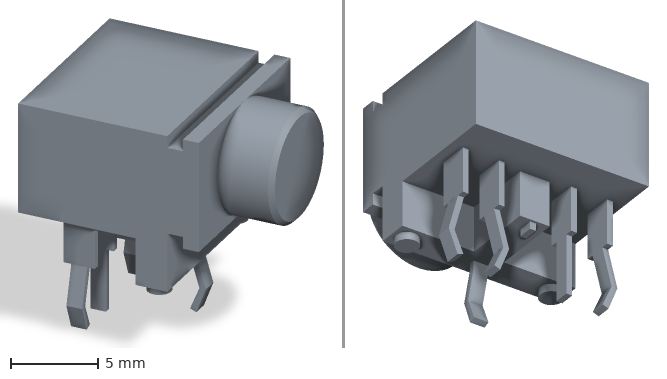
import cadquery as cq


width = 12.0
height = 7.0
flange_end = 11.5
groove_width = 1.0
flange_thickness = 1.0
groove_depth = 0.75
groove_end = flange_end - flange_thickness
groove_start = groove_end - groove_width

total_length = 15.0
barrel_chamfer = 0.3
barrel_length = total_length - flange_end

foot_height = 3.0
foot_length = 2.01
foot_start = groove_start - foot_length
rib_start = 2.8
rib_width = 2.05

peg_diameter = 1.5
peg_height = 0.5
peg_x = 8.5
peg_y = 5.0

pin_thickness = 0.4
pin_width = 1.0
total_height = 14.0
pin_drop = total_height - height - foot_height
kink_drop = 2.4
kink_offset = 0.65
front_kink_offset = 0.57
tail_offset = 0.03
blade_width = 2.0
blade_x = 3.5
blade_y = (5.0, 2.5, -2.5, -5.0)
blade_kinks = (1, -1, 0, -1)
stub_height = 0.5


def x_box(x_start, x_end, y_size, z_low, z_high):
    """Box centred on the mid plane."""
    return (
        cq.Workplane("XY")
        .box(x_end - x_start, y_size, z_high - z_low, centered=(False, True, False))
        .translate((x_start, 0, z_low))
    )


def make_housing():
    """Block with a flange set off by grooves above and below."""
    body = x_box(0, groove_start, width, 0, height)
    neck = x_box(groove_start, groove_end, width, groove_depth, height - groove_depth)
    flange = x_box(groove_end, flange_end, width, 0, height)
    foot = x_box(foot_start, groove_start, width, -foot_height, 0)
    rib = x_box(rib_start, foot_start, rib_width, -foot_height, 0)
    return body.union(neck).union(flange).union(foot).union(rib)


def make_barrel():
    """Round socket nose with a chamfered tip."""
    return (
        cq.Workplane("YZ", origin=(flange_end, 0, height / 2))
        .circle(height / 2)
        .extrude(barrel_length)
        .faces(">X")
        .chamfer(barrel_chamfer)
    )


def make_pegs():
    return (
        cq.Workplane("XY", origin=(0, 0, -foot_height))
        .pushPoints([(peg_x, -peg_y), (peg_x, peg_y)])
        .circle(peg_diameter / 2)
        .extrude(-peg_height)
    )


def make_pin(kink, tail, straight_drop=0.0):
    """Pin hanging from the origin, straight at first, with its kink and tail offset along Y."""
    half = pin_thickness / 2
    end_rise = pin_thickness * (kink - tail) / (pin_drop - kink_drop)
    rise_left = max(end_rise, 0)
    rise_right = max(-end_rise, 0)
    outline = [
        (-half, -straight_drop),
        (kink - half, -kink_drop),
        (tail - half, -pin_drop + rise_left),
        (tail + half, -pin_drop + rise_right),
        (kink + half, -kink_drop),
        (half, -straight_drop),
    ]
    if straight_drop > 0:
        outline += [(half, 0), (-half, 0)]
    return cq.Workplane("YZ").polyline(outline).close().extrude(pin_width / 2, both=True)


def make_blade_terminal(y, kink_side):
    """Wide blade under the housing with a narrower pin below it."""
    blade = cq.Workplane("XY").box(blade_width, pin_thickness, foot_height, centered=(True, True, False))
    pin = make_pin(kink_side * kink_offset, kink_side * tail_offset)
    return blade.union(pin).translate((blade_x, y, -foot_height))


result = make_housing().union(make_barrel()).union(make_pegs())

for y, kink_side in zip(blade_y, blade_kinks):
    result = result.union(make_blade_terminal(y, kink_side))

stub = cq.Workplane("XY").box(pin_width, pin_thickness, stub_height, centered=(True, True, False))
result = result.union(stub.translate((blade_x, 0, -foot_height - stub_height)))

front_pin = make_pin(-front_kink_offset, tail_offset, stub_height).rotate((0, 0, 0), (0, 0, 1), 90)
result = result.union(front_pin.translate((peg_x, 0, -foot_height)))